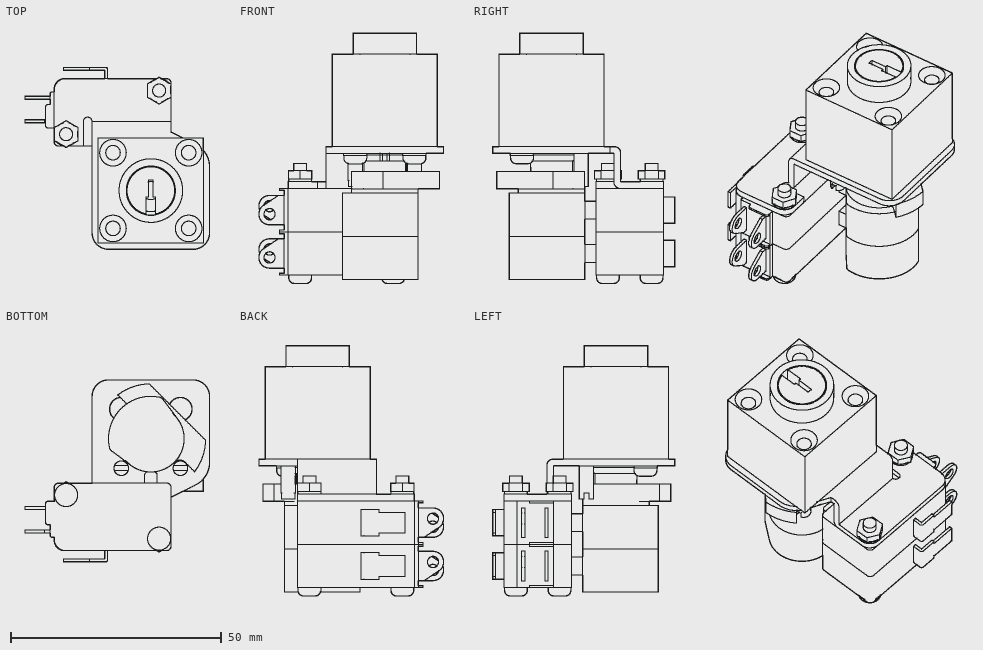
import cadquery as cq
import math


switch_count = 2
switch_height = 10.3
screw_head_radius = 2.75
screw_head_height = 2.0
screw_head_rounding = 1.45
thread_radius = 1.55
switch_x_min = -23.0
switch_x_max = 4.8
switch_y_min = 10.55
switch_y_max = 26.65
switch_corner_radius = 1.1
switch_large_corner_radius = 2.5
screw_edge_distance = 2.85
screw_points = [
    (switch_x_min + screw_edge_distance, switch_y_min + screw_edge_distance),
    (switch_x_max - screw_edge_distance, switch_y_max - screw_edge_distance),
]
switch_base_z = screw_head_height
switch_stack_top_z = switch_base_z + switch_count * switch_height

block_x_min = -23.95
block_y_min = 14.85
block_y_max = 23.5
block_corner_radius = 0.5
lip_x_min = -25.1
lip_y_max = 20.5
lip_thickness = 0.5
lip_corner_radius = 0.7

blade_thickness = 0.8
blade_height = 7.05
eye_radius = 2.55
eye_hole_radius = 1.3
eye_center_x = -27.4
lower_eye_blade_y = 16.5
upper_eye_blade_y = 22.05
blade_slope_start_x = -25.3

common_x_max = -10.25
common_x_min = -20.8
common_y_max = 29.3
common_thickness = 0.7
common_width = 6.3
common_bend_radius = 0.55
common_tip_start_x = -14.6
common_tip_inset = 0.7

plunger_width = 3.0
plunger_height = 4.3
plunger_rounding = 0.7

sheet = 1.6
plate_half_width = 14.0
plate_corner_radius = 4.0
plate_large_corner_radius = 5.95
plate_slope_start_y = 13.95
plate_slope_end_y = 9.3
plate_top_z = 32.6
plate_bottom_z = plate_top_z - sheet
wall_y_min = 14.85
wall_y_max = wall_y_min + sheet
bend_radius = 1.5
flange_corner_radius = 2.8
relief_width = 2.0
relief_end_y = 17.45
flange_top_z = switch_stack_top_z + sheet
clamp_washer_height = 0.6
nut_height = 2.0
nut_across_flats = 5.55
thread_top_z = 28.6
hardware_offset = 7.05
head_washer_radius = 2.8
head_washer_height = 0.5
pin_radius = 1.7
pin_bottom_z = 23.05
pin_slot_width = 1.2
pin_slot_depth = 1.5

housing_width = 25.05
lock_top_z = 59.6
barrel_height = 5.0
barrel_radius = 7.55
housing_top_z = lock_top_z - barrel_height
mount_hole_offset = 9.0
mount_hole_diameter = 3.45
mount_sink_diameter = 6.3
mount_hole_depth = 8.95
sink_angle = 90
drill_tip_angle = 118
collar_radius = 5.95
collar_bottom_z = 30.65
plug_radius = 5.65
plug_bottom_z = 29.2
plug_gap = 0.2
plug_gap_depth = 0.5
keyway_narrow_width = 1.15
keyway_wide_width = 2.2
keyway_end_y = 2.5
keyway_step_y = -1.5
neck_radius = 5.0
neck_bore_radius = 2.15

stop_top_z = 26.7
stop_bottom_z = 22.5
stop_arm_radius = 13.05
stop_arm_face = 1.8
stop_arm_end = 8.95
stop_root_radius = 1.8
stop_turn = -45

cam_height = switch_height
cam_base_radius = 7.9
cam_lobe_radius = 10.1
cam_ramp_angle = 37.0
cam_symmetry_angle = 45
cam_corner_radius = 1.2
cam_stack_bottom_z = 0.95
cam_stack_top_z = cam_stack_bottom_z + switch_count * cam_height


def box(x_range, y_range, z_range):
    """Box spanning the given ranges."""
    size = [high - low for low, high in (x_range, y_range, z_range)]
    corner = (x_range[0], y_range[0], z_range[0])
    return cq.Workplane("XY").box(*size, centered=False).translate(corner)


def cylinder(radius, z_low, z_high, center=(0, 0)):
    """Upright cylinder between two heights."""
    return cq.Workplane("XY", origin=(*center, z_low)).circle(radius).extrude(z_high - z_low)


def polar(radius, angle):
    """Point at an angle in degrees around the lock axis."""
    return (radius * math.cos(math.radians(angle)), radius * math.sin(math.radians(angle)))


def make_mount_holes(housing_block):
    """Countersunk blind holes with a drill-point end in the housing top."""
    sink_depth = (mount_sink_diameter - mount_hole_diameter) / 2 / math.tan(math.radians(sink_angle / 2))
    tip_depth = mount_hole_diameter / 2 / math.tan(math.radians(drill_tip_angle / 2))
    hole = (
        cq.Workplane("XZ")
        .lineTo(mount_sink_diameter / 2, 0)
        .lineTo(mount_hole_diameter / 2, -sink_depth)
        .lineTo(mount_hole_diameter / 2, -mount_hole_depth)
        .lineTo(0, -mount_hole_depth - tip_depth)
        .close()
        .revolve(360, (0, 0), (0, 1))
    )
    for x in (-mount_hole_offset, mount_hole_offset):
        for y in (-mount_hole_offset, mount_hole_offset):
            housing_block = housing_block.cut(hole.translate((x, y, housing_top_z)))
    return housing_block


def make_keyway():
    """Stepped key slot through the plug, open on its -Y side."""
    z_range = (plug_bottom_z, lock_top_z)
    narrow_half = keyway_narrow_width / 2
    wide_half = keyway_wide_width / 2
    gap_radius = plug_radius + plug_gap
    narrow = box((-narrow_half, narrow_half), (keyway_step_y, keyway_end_y), z_range)
    wide = box((-wide_half, wide_half), (-gap_radius, keyway_step_y), z_range)
    return narrow.union(wide).intersect(cylinder(gap_radius, *z_range))


def make_stop_disc():
    """Hub with an arm whose straight inner face runs into the hub with rounded roots."""
    hub = cylinder(cam_base_radius, stop_bottom_z, stop_top_z)
    arm = cylinder(stop_arm_radius, stop_bottom_z, stop_top_z).intersect(
        box(
            (stop_arm_face, stop_arm_end),
            (-stop_arm_radius, stop_arm_radius),
            (stop_bottom_z, stop_top_z),
        )
    )
    disc = hub.union(arm)
    root_y = math.sqrt(cam_base_radius**2 - stop_arm_face**2)
    middle_z = (stop_bottom_z + stop_top_z) / 2
    for y in (-root_y, root_y):
        root = cq.selectors.NearestToPointSelector((stop_arm_face, y, middle_z))
        disc = disc.edges("|Z").edges(root).fillet(stop_root_radius)
    return disc.rotate((0, 0, 0), (0, 0, 1), stop_turn)


def make_lock():
    """Housing, barrel and plug with the stop disc and the spacer that carries the cams."""
    half = housing_width / 2
    housing_block = make_mount_holes(box((-half, half), (-half, half), (plate_top_z, housing_top_z)))
    lock_body = (
        housing_block.union(cylinder(barrel_radius, housing_top_z, lock_top_z))
        .union(cylinder(collar_radius, collar_bottom_z, plate_top_z))
        .union(cylinder(plug_radius, plug_bottom_z, collar_bottom_z))
    )
    gap_bottom_z = lock_top_z - plug_gap_depth
    plug_ring = cylinder(plug_radius + plug_gap, gap_bottom_z, lock_top_z).cut(
        cylinder(plug_radius, gap_bottom_z, lock_top_z)
    )
    neck = cylinder(neck_radius, stop_top_z, plug_bottom_z).cut(
        cylinder(neck_bore_radius, stop_top_z, plug_bottom_z)
    )
    return (
        lock_body.cut(plug_ring)
        .cut(make_keyway())
        .union(neck)
        .union(make_stop_disc())
        .union(cylinder(cam_base_radius, cam_stack_top_z, stop_bottom_z))
    )


def make_cam(bottom_z):
    """Cam with a lobe toward -X-Y, joined to the base circle by tangent ramps."""
    ramp_span = math.degrees(math.acos(cam_base_radius / cam_lobe_radius))
    first_ramp = -cam_ramp_angle
    second_ramp = 2 * cam_symmetry_angle + cam_ramp_angle
    base_middle = polar(cam_base_radius, cam_symmetry_angle)
    lobe_middle = polar(cam_lobe_radius, cam_symmetry_angle + 180)
    return (
        cq.Workplane("XY", origin=(0, 0, bottom_z))
        .moveTo(*polar(cam_base_radius, first_ramp))
        .threePointArc(base_middle, polar(cam_base_radius, second_ramp))
        .lineTo(*polar(cam_lobe_radius, second_ramp + ramp_span))
        .threePointArc(lobe_middle, polar(cam_lobe_radius, first_ramp - ramp_span))
        .close()
        .extrude(cam_height)
        .edges("|Z")
        .edges("<X or <Y")
        .fillet(cam_corner_radius)
    )


def make_plate():
    """Upper plate that carries the lock."""
    plate = (
        cq.Workplane("XY", origin=(0, 0, plate_bottom_z))
        .moveTo(-plate_half_width, -plate_half_width)
        .lineTo(plate_half_width, -plate_half_width)
        .lineTo(plate_half_width, plate_slope_end_y)
        .lineTo(switch_x_max, plate_slope_start_y)
        .lineTo(switch_x_max, wall_y_max)
        .lineTo(-plate_half_width, wall_y_max)
        .close()
        .extrude(sheet)
    )
    plate = plate.edges("|Z and <Y").fillet(plate_corner_radius)
    sloped_corner = cq.selectors.NearestToPointSelector(
        (plate_half_width, plate_slope_end_y, plate_top_z - sheet / 2)
    )
    plate = plate.edges("|Z").edges(sloped_corner).fillet(plate_large_corner_radius)
    return plate.cut(cylinder(collar_radius, plate_bottom_z, plate_top_z))


def make_flange():
    """Lower flange on the switches, with a round-ended bend relief beside the wall."""
    relief_x_min = -plate_half_width - relief_width
    relief_radius = relief_width / 2
    relief_arc_y = relief_end_y - relief_radius
    flange = box(
        (switch_x_min, switch_x_max),
        (switch_y_min, switch_y_max),
        (switch_stack_top_z, flange_top_z),
    )
    flange = flange.edges("|Z").edges("<X or >Y").fillet(flange_corner_radius)
    wall_clearance = box(
        (-plate_half_width, switch_x_max),
        (switch_y_min, wall_y_min),
        (switch_stack_top_z, flange_top_z),
    )
    relief = box(
        (relief_x_min, -plate_half_width),
        (switch_y_min, relief_arc_y),
        (switch_stack_top_z, flange_top_z),
    ).union(
        cylinder(
            relief_radius,
            switch_stack_top_z,
            flange_top_z,
            (relief_x_min + relief_radius, relief_arc_y),
        )
    )
    return flange.cut(wall_clearance).cut(relief)


def make_sheet():
    """Plate, wall and flange as one Z-bent sheet with rounded outer bends."""
    wall = box(
        (-plate_half_width, switch_x_max),
        (wall_y_min, wall_y_max),
        (switch_stack_top_z, plate_top_z),
    )
    bent_sheet = make_plate().union(wall).union(make_flange())
    wall_middle_x = (switch_x_max - plate_half_width) / 2
    for y, z in ((wall_y_max, plate_top_z), (wall_y_min, switch_stack_top_z)):
        bend = cq.selectors.NearestToPointSelector((wall_middle_x, y, z))
        bent_sheet = bent_sheet.edges("|X").edges(bend).fillet(bend_radius)
    return bent_sheet


def make_screw_head(center, bottom_z):
    """Rounded screw head that points down."""
    head = cylinder(screw_head_radius, bottom_z, bottom_z + screw_head_height, center)
    return head.faces("<Z").edges().fillet(screw_head_rounding)


def make_clamp_screw(center):
    """Screw up through both switches with a washer and a nut on the flange."""
    nut_bottom_z = flange_top_z + clamp_washer_height
    nut_corner_diameter = nut_across_flats / math.cos(math.radians(30))
    nut = (
        cq.Workplane("XY")
        .polygon(6, nut_corner_diameter)
        .extrude(nut_height)
        .rotate((0, 0, 0), (0, 0, 1), 30)
        .translate((*center, nut_bottom_z))
    )
    return (
        make_screw_head(center, 0)
        .union(cylinder(thread_radius, screw_head_height, thread_top_z, center))
        .union(cylinder(screw_head_radius, flange_top_z, nut_bottom_z, center))
        .union(nut)
    )


def make_lock_screw(x):
    """Washer and screw head under the plate."""
    center = (x, -hardware_offset)
    washer_bottom_z = plate_bottom_z - head_washer_height
    washer = cylinder(head_washer_radius, washer_bottom_z, plate_bottom_z, center)
    return washer.union(make_screw_head(center, washer_bottom_z - screw_head_height))


def make_stop_pin(x):
    """Pin under the plate with a screwdriver slot in its end."""
    pin = cylinder(pin_radius, pin_bottom_z, plate_bottom_z, (x, hardware_offset))
    slot = box(
        (x - pin_radius, x + pin_radius),
        (hardware_offset - pin_slot_width / 2, hardware_offset + pin_slot_width / 2),
        (pin_bottom_z, pin_bottom_z + pin_slot_depth),
    )
    return pin.cut(slot)


def make_bracket():
    """Bent sheet together with the hardware fixed to it."""
    bracket_body = make_sheet()
    for center in screw_points:
        bracket_body = bracket_body.union(make_clamp_screw(center))
    for x in (-hardware_offset, hardware_offset):
        bracket_body = bracket_body.union(make_lock_screw(x)).union(make_stop_pin(x))
    return bracket_body


def make_case():
    """Switch case with its terminal block, lips and screw holes, standing on z = 0."""
    case = box((switch_x_min, switch_x_max), (switch_y_min, switch_y_max), (0, switch_height))
    case = case.edges("|Z and <X and >Y").fillet(switch_large_corner_radius)
    case = case.edges("|Z and (>X or <Y)").fillet(switch_corner_radius)
    block = box((block_x_min, switch_x_min), (block_y_min, block_y_max), (0, switch_height))
    block = block.edges("|Z and <X and >Y").fillet(block_corner_radius)
    case = case.union(block)
    for bottom_z in (0, switch_height - lip_thickness):
        lip = box(
            (lip_x_min, block_x_min),
            (block_y_min, lip_y_max),
            (bottom_z, bottom_z + lip_thickness),
        )
        case = case.union(lip.edges("|Z and <X").fillet(lip_corner_radius))
    for center in screw_points:
        case = case.cut(cylinder(thread_radius, 0, switch_height, center))
    return case


def make_blade(y, eye_side):
    """Blade terminal; eye_side is -1 for an eye at the lower edge and +1 at the upper edge."""
    half_height = blade_height / 2
    eye_z = half_height - eye_radius
    run = blade_slope_start_x - eye_center_x
    rise = half_height + eye_z
    tangent_angle = math.atan2(rise, run) + math.acos(eye_radius / math.hypot(run, rise))
    tangent_point = (
        eye_center_x + eye_radius * math.cos(tangent_angle),
        -eye_z + eye_radius * math.sin(tangent_angle),
    )
    blade = (
        cq.Workplane("XZ")
        .moveTo(block_x_min, half_height)
        .lineTo(blade_slope_start_x, half_height)
        .lineTo(*tangent_point)
        .threePointArc((eye_center_x - eye_radius, -eye_z), (eye_center_x, -half_height))
        .lineTo(block_x_min, -half_height)
        .close()
        .moveTo(eye_center_x, -eye_z)
        .circle(eye_hole_radius)
        .extrude(blade_thickness / 2, both=True)
    )
    if eye_side > 0:
        blade = blade.mirror("XY")
    return blade.translate((0, y, switch_height / 2))


def make_common_terminal():
    """Strip that leaves the +Y side, bends toward -X and ends in a narrower tip."""
    z_range = ((switch_height - common_width) / 2, (switch_height + common_width) / 2)
    foot_x_min = common_x_max - common_thickness
    foot = box((foot_x_min, common_x_max), (switch_y_max, common_y_max), z_range)
    strip_y_range = (common_y_max - common_thickness, common_y_max)
    strip = box((common_tip_start_x, common_x_max), strip_y_range, z_range)
    tip = box(
        (common_x_min, common_tip_start_x),
        strip_y_range,
        (z_range[0] + common_tip_inset, z_range[1] - common_tip_inset),
    )
    terminal = foot.union(strip).union(tip)
    return terminal.edges("|Z and >X and >Y").fillet(common_bend_radius)


def make_plunger():
    """Rounded plunger that touches the base circle of its cam."""
    plunger = box(
        (-plunger_width / 2, plunger_width / 2),
        (cam_base_radius, switch_y_min),
        ((switch_height - plunger_height) / 2, (switch_height + plunger_height) / 2),
    )
    return plunger.edges("|Z and <Y").fillet(plunger_rounding)


def make_switch(bottom_z):
    """One complete microswitch."""
    return (
        make_case()
        .union(make_blade(lower_eye_blade_y, -1))
        .union(make_blade(upper_eye_blade_y, 1))
        .union(make_common_terminal())
        .union(make_plunger())
        .translate((0, 0, bottom_z))
    )


lock = make_lock()
bracket = make_bracket()
switches = [make_switch(switch_base_z + level * switch_height) for level in range(switch_count)]
cams = [make_cam(cam_stack_bottom_z + level * cam_height) for level in range(switch_count)]

result = cq.Compound.makeCompound(
    [lock.val(), bracket.val()]
    + [switch.val() for switch in switches]
    + [cam.val() for cam in cams]
)